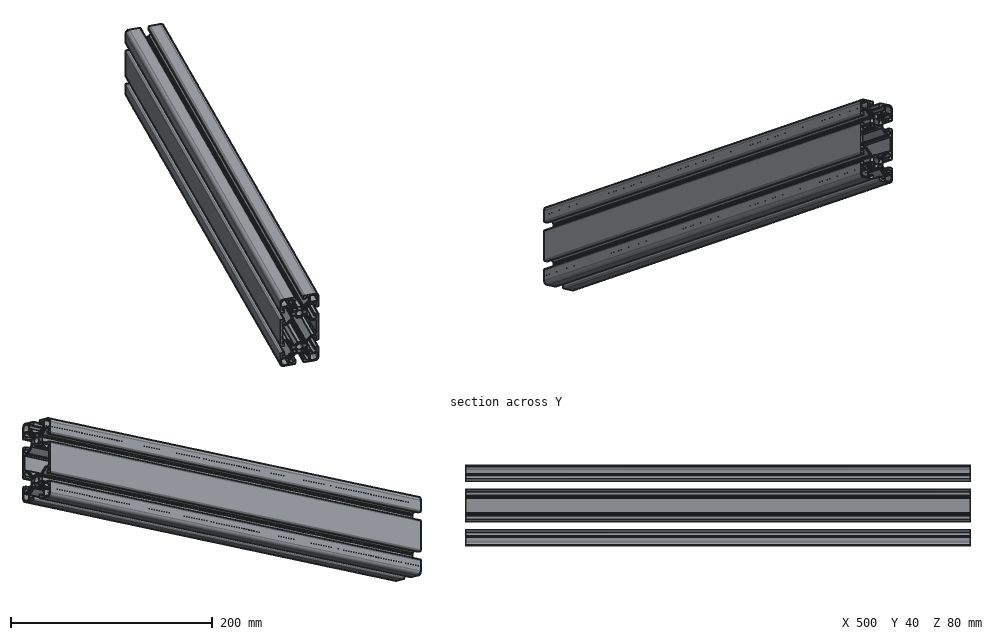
import cadquery as cq

LENGTH = 500.0
MODULE = 40.0
HALF = MODULE / 2
HEIGHT = 2 * MODULE
CORNER_RADIUS = 4.0
WALL = 1.25

SLOT_HALF_OPENING = 4.0
SLOT_HALF_WIDTH = 10.0
SLOT_FLOOR = 8.0
LIP_DEPTH = 4.25
LIP_RADIUS = 1.5
LIP_END = 6.5
UNDERCUT_SKIN = 2.25
GROOVE_HALF_WIDTH = 2.5
GROOVE_DEPTH = 0.25

WEB_SLOT_OFFSET = 3.75
WEB_INNER_OFFSET = 1.25
CHANNEL_END = 10.5

BORE_RADIUS = 3.4
CORE_SLOPE_SUM = 7.5
STEM_HALF_WIDTH = 2.25
CORE_END = 5.5

SIDE_WALL = 2.5
CAVITY_CHAMFER = 1.5

HOLLOW_RADIUS = CORNER_RADIUS - WALL

WALL_BESIDE_SLOT = SLOT_HALF_WIDTH + WALL
WALL_BELOW_FLOOR = SLOT_FLOOR - WALL
STEM_FOOT = CORE_SLOPE_SUM - STEM_HALF_WIDTH



def prism(points):
    return cq.Workplane("YZ").polyline(points).close().extrude(LENGTH)


def slot():
    """T-slot that opens upwards, with rounded mouth and undercuts."""
    undercut_radius = (SLOT_HALF_WIDTH - LIP_END) / 2
    undercut_top = HALF - UNDERCUT_SKIN
    undercut_spring = undercut_top - undercut_radius
    lip_back = HALF - LIP_DEPTH
    return (
        cq.Workplane("YZ")
        .moveTo(0, SLOT_FLOOR - GROOVE_DEPTH)
        .lineTo(GROOVE_HALF_WIDTH - GROOVE_DEPTH, SLOT_FLOOR - GROOVE_DEPTH)
        .lineTo(GROOVE_HALF_WIDTH, SLOT_FLOOR)
        .lineTo(SLOT_FLOOR - WEB_SLOT_OFFSET, SLOT_FLOOR)
        .lineTo(SLOT_HALF_WIDTH, SLOT_HALF_WIDTH + WEB_SLOT_OFFSET)
        .lineTo(SLOT_HALF_WIDTH, undercut_spring)
        .threePointArc((LIP_END + undercut_radius, undercut_top), (LIP_END, undercut_spring))
        .lineTo(LIP_END, lip_back)
        .lineTo(SLOT_HALF_OPENING, lip_back)
        .lineTo(SLOT_HALF_OPENING, HALF - LIP_RADIUS)
        .radiusArc((SLOT_HALF_OPENING + LIP_RADIUS, HALF), LIP_RADIUS)
        .lineTo(0, HALF)
        .mirrorY()
        .extrude(LENGTH)
    )


def corner_hollow():
    """Square hollow in the +Y, +Z corner, rounded at its outer corner."""
    outer = HALF - WALL
    middle = (WALL_BESIDE_SLOT + outer) / 2
    side = outer - WALL_BESIDE_SLOT
    hollow = cq.Workplane("YZ").center(middle, middle).rect(side, side).extrude(LENGTH)
    return hollow.edges("|X and >Y and >Z").fillet(HOLLOW_RADIUS)


def web_channel():
    """Channel inside the +Y, +Z web, widening to a chamber beside the core."""
    lower_half = [
        (CHANNEL_END, CHANNEL_END - WEB_INNER_OFFSET),
        (WALL_BELOW_FLOOR, WALL_BELOW_FLOOR - WEB_INNER_OFFSET),
        (WALL_BELOW_FLOOR, STEM_HALF_WIDTH),
        (STEM_FOOT, STEM_HALF_WIDTH),
    ]
    upper_half = [(z, y) for y, z in reversed(lower_half)]
    return prism([(CHANNEL_END, CHANNEL_END)] + lower_half + upper_half)


def cavity_half():
    """The upper module's half of the central cavity."""
    side = HALF - SIDE_WALL
    right_half = [
        (side, -HALF),
        (side, -WALL_BESIDE_SLOT - CAVITY_CHAMFER),
        (side - CAVITY_CHAMFER, -WALL_BESIDE_SLOT),
        (WALL_BESIDE_SLOT + WEB_INNER_OFFSET, -WALL_BESIDE_SLOT),
        (WALL_BELOW_FLOOR, WEB_INNER_OFFSET - WALL_BELOW_FLOOR),
        (WALL_BELOW_FLOOR, -STEM_HALF_WIDTH),
        (STEM_FOOT, -STEM_HALF_WIDTH),
        (CORE_SLOPE_SUM - CORE_END, -CORE_END),
    ]
    left_half = [(-y, z) for y, z in reversed(right_half)]
    return prism(right_half + left_half)


def turned(tool, angle):
    return tool.rotate((0, 0, 0), (1, 0, 0), angle)


bore = cq.Workplane("YZ").circle(BORE_RADIUS).extrude(LENGTH)
cuts = [bore, cavity_half()]
for angle in (-90, 0, 90):
    cuts.append(turned(slot(), angle))
for angle in (0, 90):
    cuts.append(turned(corner_hollow(), angle))
    cuts.append(turned(web_channel(), angle))

result = cq.Workplane("YZ").rect(MODULE, HEIGHT).extrude(LENGTH).edges("|X").fillet(CORNER_RADIUS)
for cut in cuts:
    upper = cut.translate((0, 0, HALF))
    result = result.cut(upper).cut(upper.mirror("XY"))